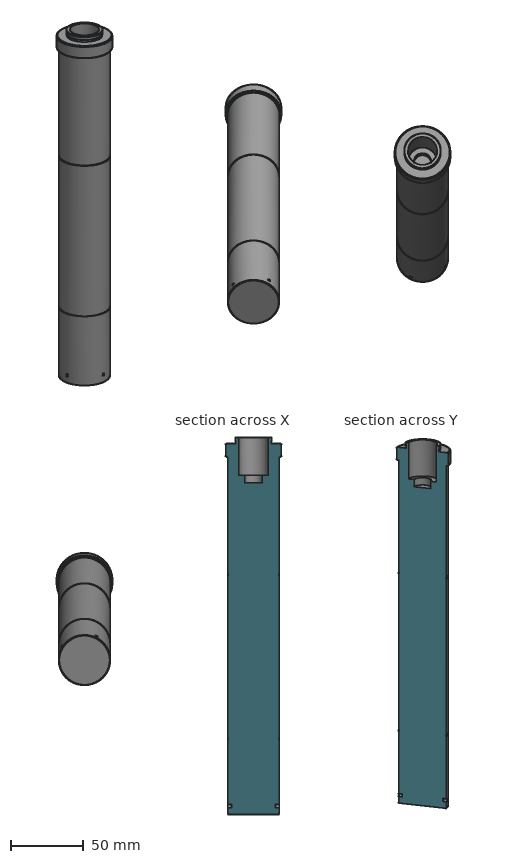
import cadquery as cq

TOTAL_HEIGHT = 259.0
THREAD_LENGTH = 4.1
COLLAR_HEIGHT = 9.5
collar_top = TOTAL_HEIGHT - THREAD_LENGTH
collar_bottom = collar_top - COLLAR_HEIGHT

BODY_DIAMETER = 35.5
COLLAR_DIAMETER = 38.5
THREAD_DIAMETER = 25.5
RELIEF_DIAMETER = 24.5
COLLAR_CHAMFER = 0.8
BOTTOM_CHAMFER = 0.5

THREAD_CHAMFER = 0.4
RELIEF_WIDTH = 1.5

BORE_DIAMETER = 20.0
BORE_DEPTH = 26.0
INNER_BORE_DIAMETER = 12.0
INNER_BORE_DEPTH = 5.2

JOINT_DEPTH = 0.3
UPPER_JOINT_HEIGHT = 164.7
UPPER_JOINT_WIDTH = 0.5
LOWER_JOINT_HEIGHT = 52.0
LOWER_JOINT_WIDTH = 0.3

SCREW_DIAMETER = 1.8
SCREW_DEPTH = 2.5
SCREW_HEIGHT = 6.0
SCREW_ANGLES = (0, 90, 180, 270)


def cylinder(diameter, bottom, height):
    """Vertical cylinder on the tube axis."""
    return cq.Workplane("XY").workplane(offset=bottom).circle(diameter / 2).extrude(height)


def tube_body():
    return cylinder(BODY_DIAMETER, 0, collar_top).faces("<Z").chamfer(BOTTOM_CHAMFER)


def collar():
    return cylinder(COLLAR_DIAMETER, collar_bottom, COLLAR_HEIGHT).edges().chamfer(COLLAR_CHAMFER)


def spigot():
    relief = cylinder(RELIEF_DIAMETER, collar_top, RELIEF_WIDTH)
    land = cylinder(THREAD_DIAMETER, collar_top + RELIEF_WIDTH, THREAD_LENGTH - RELIEF_WIDTH)
    return relief.union(land.faces(">Z").chamfer(THREAD_CHAMFER))


def joint_groove(height, width):
    """Ring to cut a shallow groove centred at the given height."""
    bottom = height - width / 2
    outer = cylinder(COLLAR_DIAMETER, bottom, width)
    return outer.cut(cylinder(BODY_DIAMETER - 2 * JOINT_DEPTH, bottom, width))


def stepped_bore():
    floor = TOTAL_HEIGHT - BORE_DEPTH
    inner = cylinder(INNER_BORE_DIAMETER, floor - INNER_BORE_DEPTH, INNER_BORE_DEPTH)
    return inner.union(cylinder(BORE_DIAMETER, floor, BORE_DEPTH))


def screw_hole(angle):
    hole = cq.Workplane("YZ").workplane(offset=BODY_DIAMETER / 2 - SCREW_DEPTH)
    hole = hole.center(0, SCREW_HEIGHT).circle(SCREW_DIAMETER / 2).extrude(2 * SCREW_DEPTH)
    return hole.rotate((0, 0, 0), (0, 0, 1), angle)


result = tube_body().union(collar()).union(spigot()).cut(stepped_bore())
result = result.cut(joint_groove(UPPER_JOINT_HEIGHT, UPPER_JOINT_WIDTH))
result = result.cut(joint_groove(LOWER_JOINT_HEIGHT, LOWER_JOINT_WIDTH))
for screw_angle in SCREW_ANGLES:
    result = result.cut(screw_hole(screw_angle))